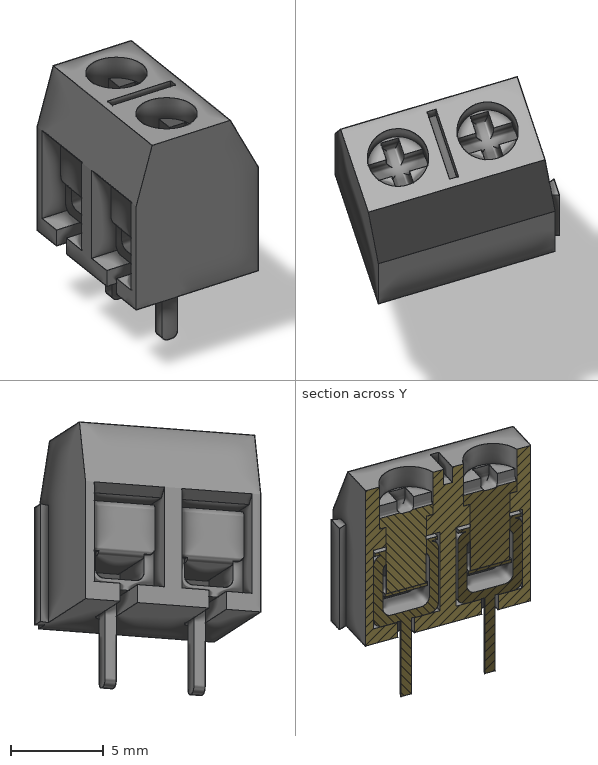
import cadquery as cq


POLES = 2

BODY_WIDTH = 10.0
BODY_DEPTH = 7.8
BODY_HEIGHT = 10.0
SHOULDER_Z = 6.5
FRONT_SETBACK = 1.02
BACK_SETBACK = 1.79
WALL = 0.5
FLOOR = 1.0

POLE_X = 2.46
POLE_PITCH = BODY_WIDTH - 2 * POLE_X
POLE_Y = 3.5
POLE_CENTERS = [POLE_X + i * POLE_PITCH for i in range(POLES)]

RIB_HEIGHT = 0.5
RIB_Y = 6.51
RIB_OUTER_WIDTH = 1.0
RIB_ROOT_WIDTH = 0.6

POCKET_WIDTH = BODY_WIDTH / POLES - 2 * WALL
POCKET_DEPTH = 6.0
CEILING_Z = 6.0
LEAD_IN_DEPTH = 0.49

TOP_SLOT_WIDTH = 0.5
TOP_SLOT_LENGTH = 4.03
TOP_SLOT_DEPTH = 1.0

PIN_THICKNESS = 0.65
PIN_WIDTH = 1.0
PIN_LENGTH = 4.0
PIN_TIP_RADIUS = 0.39
PIN_SLOT_WIDTH = 1.0

CAGE_WIDTH = 2 * (POLE_X - WALL)
CAGE_HEIGHT = 4.59
CAGE_FRONT_Y = 1.5
CAGE_DEPTH = 2 * (POLE_Y - CAGE_FRONT_Y)
CAGE_WALL = 0.57
CAGE_RADIUS = 0.5
CAGE_TOP_Z = FLOOR + CAGE_HEIGHT

GUARD_WIDTH = 3.8
GUARD_SHEET = 0.22
GUARD_FRONT_Y = 1.15
GUARD_TOP_Z = CAGE_TOP_Z + GUARD_SHEET
GUARD_BOTTOM_Z = 2.8
GUARD_TOP_RADIUS = 0.34
GUARD_BOTTOM_RADIUS = 0.35
TONGUE_WIDTH = 2.6
TONGUE_DROP = 0.2
GUARD_CORNER_RADIUS = 0.34

HEAD_DIAMETER = 3.3
HEAD_TOP_Z = 8.7
HEAD_HEIGHT = 1.4
HEAD_BOTTOM_Z = HEAD_TOP_Z - HEAD_HEIGHT
SHANK_DIAMETER = 2.53
SHANK_END_Z = GUARD_BOTTOM_Z + GUARD_SHEET
DRIVE_WIDTH = 1.0
DRIVE_LENGTH = 3.0
DRIVE_DEPTH = 0.8
DRIVE_FLOOR_RADIUS = 0.3


def box(x_size, y_size, z_size, x_center, y_center, z_bottom):
    """A box centred on a point in plan, standing on z_bottom."""
    return (
        cq.Workplane("XY", origin=(x_center, y_center, z_bottom))
        .box(x_size, y_size, z_size, centered=(True, True, False))
    )


def cylinder(diameter, x_center, z_bottom, z_top):
    """An upright cylinder on a pole axis."""
    return (
        cq.Workplane("XY", origin=(x_center, POLE_Y, z_bottom))
        .circle(diameter / 2)
        .extrude(z_top - z_bottom)
    )


def make_body():
    """Outer block with sloping upper faces at front and back."""
    return (
        cq.Workplane("YZ")
        .polyline([
            (0, 0),
            (BODY_DEPTH, 0),
            (BODY_DEPTH, SHOULDER_Z),
            (BODY_DEPTH - BACK_SETBACK, BODY_HEIGHT),
            (FRONT_SETBACK, BODY_HEIGHT),
            (0, SHOULDER_Z),
        ])
        .close()
        .extrude(BODY_WIDTH)
    )


def make_rib():
    """Dovetail rib, wider at its outer face than at its root."""
    return (
        cq.Workplane("XY")
        .polyline([
            (0, RIB_Y - RIB_ROOT_WIDTH / 2),
            (0, RIB_Y + RIB_ROOT_WIDTH / 2),
            (-RIB_HEIGHT, RIB_Y + RIB_OUTER_WIDTH / 2),
            (-RIB_HEIGHT, RIB_Y - RIB_OUTER_WIDTH / 2),
        ])
        .close()
        .extrude(SHOULDER_Z)
    )


def make_pocket(index):
    """Wire pocket, open at the front, with a ceiling that slopes down from the mouth."""
    left_x = WALL + index * (POCKET_WIDTH + 2 * WALL)
    return (
        cq.Workplane("YZ", origin=(left_x, 0, 0))
        .polyline([
            (0, FLOOR),
            (POCKET_DEPTH, FLOOR),
            (POCKET_DEPTH, CEILING_Z),
            (LEAD_IN_DEPTH, CEILING_Z),
            (0, SHOULDER_Z),
        ])
        .close()
        .extrude(POCKET_WIDTH)
    )


def make_pin_slot(x_center):
    """Slot through the pocket floor from the front, with a round end just behind the pin."""
    end_y = POLE_Y + PIN_WIDTH / 2
    straight = box(PIN_SLOT_WIDTH, end_y, FLOOR, x_center, end_y / 2, 0)
    round_end = (
        cq.Workplane("XY", origin=(x_center, end_y, 0))
        .circle(PIN_SLOT_WIDTH / 2)
        .extrude(FLOOR)
    )
    return straight.union(round_end)


def make_housing():
    housing = make_body().union(make_rib())
    for index, x_center in enumerate(POLE_CENTERS):
        housing = (
            housing
            .cut(make_pocket(index))
            .cut(make_pin_slot(x_center))
            .cut(cylinder(HEAD_DIAMETER, x_center, HEAD_BOTTOM_Z, BODY_HEIGHT))
            .cut(cylinder(SHANK_DIAMETER, x_center, FLOOR, HEAD_BOTTOM_Z))
        )
    top_slot_z = BODY_HEIGHT - TOP_SLOT_DEPTH
    top_slot = box(TOP_SLOT_WIDTH, TOP_SLOT_LENGTH, TOP_SLOT_DEPTH, BODY_WIDTH / 2, POLE_Y, top_slot_z)
    return housing.cut(top_slot)


def make_cage(x_center):
    """Rounded rectangular tube that takes the wire."""
    outer = (
        box(CAGE_WIDTH, CAGE_DEPTH, CAGE_HEIGHT, x_center, POLE_Y, FLOOR)
        .edges("|Y").fillet(CAGE_RADIUS)
    )
    inner = (
        box(
            CAGE_WIDTH - 2 * CAGE_WALL, CAGE_DEPTH, CAGE_HEIGHT - 2 * CAGE_WALL,
            x_center, POLE_Y, FLOOR + CAGE_WALL,
        )
        .edges("|Y").fillet(CAGE_RADIUS)
    )
    return outer.cut(inner)


def make_guard(x_center):
    """Bent strip in front of the cage, narrowed at the fold to pass into the cage."""
    depth = CAGE_FRONT_Y + CAGE_DEPTH - GUARD_FRONT_Y
    height = GUARD_TOP_Z - GUARD_BOTTOM_Z
    middle_y = GUARD_FRONT_Y + depth / 2
    strip = (
        box(GUARD_WIDTH, depth, height, x_center, middle_y, GUARD_BOTTOM_Z)
        .edges("|X and <Y and >Z").fillet(GUARD_TOP_RADIUS)
        .edges("|X and <Y and <Z").fillet(GUARD_BOTTOM_RADIUS)
        .cut(box(
            GUARD_WIDTH, depth, height - 2 * GUARD_SHEET,
            x_center, middle_y + GUARD_SHEET, GUARD_BOTTOM_Z + GUARD_SHEET,
        ))
    )
    wide_outline = (
        box(GUARD_WIDTH, depth, height - TONGUE_DROP, x_center, middle_y, GUARD_BOTTOM_Z + TONGUE_DROP)
        .edges("|Y and <Z").fillet(GUARD_CORNER_RADIUS)
    )
    inside_depth = depth - GUARD_SHEET
    inside = box(
        GUARD_WIDTH, inside_depth, height / 2,
        x_center, middle_y + GUARD_SHEET / 2, GUARD_BOTTOM_Z,
    )
    tongue_outline = box(TONGUE_WIDTH, depth, height, x_center, middle_y, GUARD_BOTTOM_Z)
    return strip.intersect(wide_outline.cut(inside).union(tongue_outline))


def make_pin(x_center):
    """Flat solder pin with rounded tip corners, hanging from the cage."""
    return (
        box(PIN_THICKNESS, PIN_WIDTH, PIN_LENGTH + FLOOR, x_center, POLE_Y, -PIN_LENGTH)
        .edges("|X and <Z").fillet(PIN_TIP_RADIUS)
    )


def make_clamp(x_center):
    """Cage, wire guard and solder pin in one piece, with a hole for the screw."""
    screw_hole = cylinder(SHANK_DIAMETER, x_center, SHANK_END_Z, GUARD_TOP_Z)
    return (
        make_cage(x_center)
        .union(make_guard(x_center))
        .union(make_pin(x_center))
        .cut(screw_hole)
    )


def make_drive_arm(x_size, y_size, x_center):
    """One arm of the cross recess, with a rounded floor edge."""
    return (
        box(x_size, y_size, DRIVE_DEPTH, x_center, POLE_Y, HEAD_TOP_Z - DRIVE_DEPTH)
        .edges("<Z").fillet(DRIVE_FLOOR_RADIUS)
    )


def make_screw(x_center):
    """Cylindrical head with a cross recess, on a plain shank."""
    open_arm_length = HEAD_DIAMETER + 4 * DRIVE_FLOOR_RADIUS
    return (
        cylinder(HEAD_DIAMETER, x_center, HEAD_BOTTOM_Z, HEAD_TOP_Z)
        .union(cylinder(SHANK_DIAMETER, x_center, SHANK_END_Z, HEAD_BOTTOM_Z))
        .cut(make_drive_arm(DRIVE_WIDTH, DRIVE_LENGTH, x_center))
        .cut(make_drive_arm(open_arm_length, DRIVE_WIDTH, x_center))
    )


housing = make_housing()
clamps = [make_clamp(x_center) for x_center in POLE_CENTERS]
screws = [make_screw(x_center) for x_center in POLE_CENTERS]

result = cq.Compound.makeCompound([
    housing.val(),
    *[clamp.val() for clamp in clamps],
    *[screw.val() for screw in screws],
])